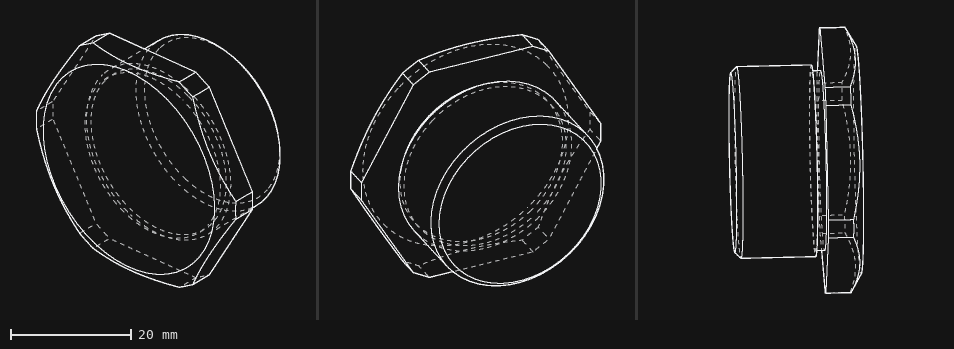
import cadquery as cq
import math

corner_span = 44.2
flat_span = 40.0
head_thickness = 6.0
face_diameter = 38.0
face_chamfer_angle = 30.0

total_length = 21.0
neck_diameter = 30.0
neck_length = 1.5
shank_diameter = 32.0
shank_chamfer = 1.0

hexagon_half_angle = 30.0
shank_length = total_length - head_thickness - neck_length


def hexagon_diameter(across_flats):
    """Corner-to-corner diameter of a regular hexagon."""
    return across_flats / math.cos(math.radians(hexagon_half_angle))


def cylinder_along_y(diameter, start, length):
    """Cylinder on the Y axis, running from start towards +Y."""
    base = cq.Workplane("XZ", origin=(0, start, 0))
    return base.circle(diameter / 2).extrude(-length)


def hexagonal_head():
    """Hexagon with trimmed corners and a conical chamfer round its front face."""
    plane = cq.Workplane("XZ")
    flats = plane.polygon(6, hexagon_diameter(flat_span)).extrude(-head_thickness)
    corner_cut = (
        plane.polygon(6, hexagon_diameter(corner_span))
        .extrude(-head_thickness)
        .rotate((0, 0, 0), (0, 1, 0), hexagon_half_angle)
    )

    face_radius = face_diameter / 2
    slope = math.tan(math.radians(face_chamfer_angle))
    rim_radius = face_radius + head_thickness / slope
    cone = (
        cq.Workplane("XY")
        .moveTo(0, 0)
        .lineTo(face_radius, 0)
        .lineTo(rim_radius, head_thickness)
        .lineTo(0, head_thickness)
        .close()
        .revolve(360, (0, 0, 0), (0, 1, 0))
    )
    return flats.intersect(corner_cut).intersect(cone)


def shank():
    """Full-diameter cylinder with a chamfered free end."""
    body = cylinder_along_y(shank_diameter, head_thickness + neck_length, shank_length)
    return body.faces(">Y").chamfer(shank_chamfer)


neck = cylinder_along_y(neck_diameter, head_thickness, neck_length)
result = hexagonal_head().union(neck).union(shank())